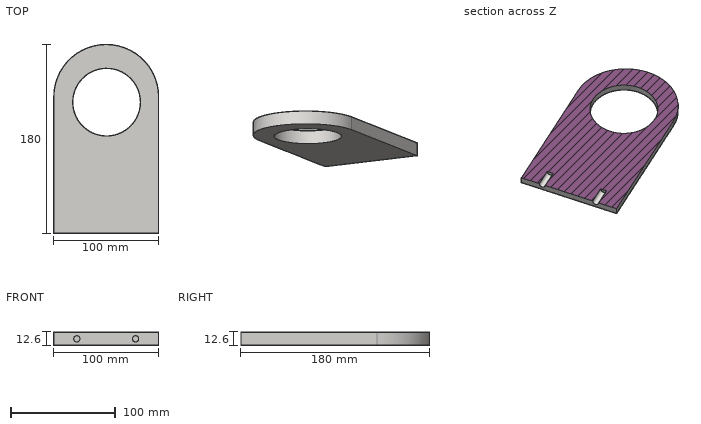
import cadquery as cq

length = 180.0
width = 100.0
thickness = 12.6
end_radius = width / 2
arc_center_y = length - end_radius

bore_diameter = 64.3
bore_offset_x = 0.4
bore_center_y = 125.0

pin_diameter = 6.0
pin_spacing = 56.0
pin_depth = 18.0


def make_plate():
    """Plate with a square end at Y = 0 and a half-round end at Y = length."""
    return (
        cq.Workplane("XY")
        .moveTo(-width / 2, 0)
        .lineTo(width / 2, 0)
        .lineTo(width / 2, arc_center_y)
        .threePointArc((0, length), (-width / 2, arc_center_y))
        .close()
        .extrude(thickness)
    )


def make_bore():
    """Cylinder removed through the full thickness."""
    return (
        cq.Workplane("XY")
        .center(bore_offset_x, bore_center_y)
        .circle(bore_diameter / 2)
        .extrude(thickness)
    )


def make_pin_holes():
    """Two blind holes running in +Y from the flat end, at mid thickness."""
    return (
        cq.Workplane("XZ")
        .pushPoints([(side * pin_spacing / 2, thickness / 2) for side in (-1, 1)])
        .circle(pin_diameter / 2)
        .extrude(-pin_depth)
    )


result = make_plate().cut(make_bore()).cut(make_pin_holes())